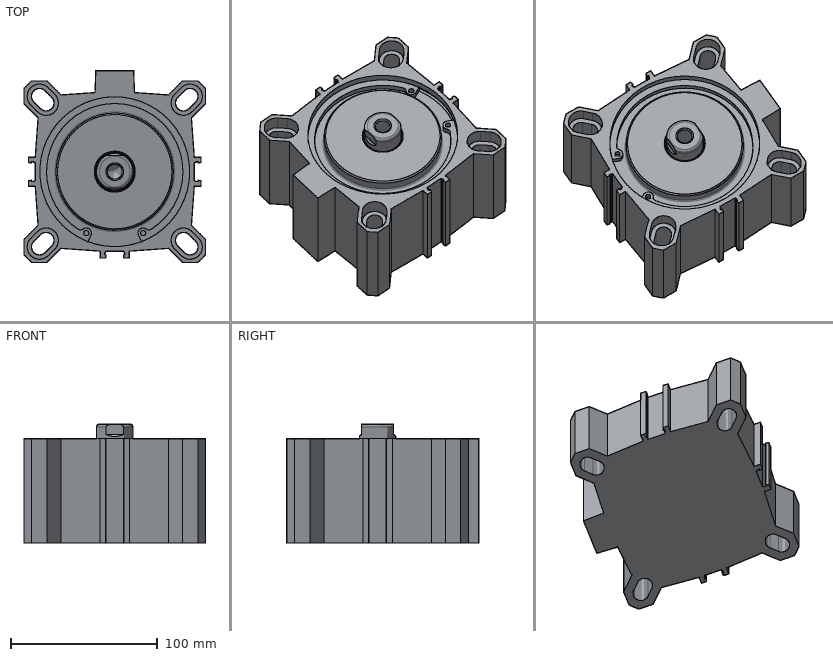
import cadquery as cq
import math

body_height = 71.2
total_height = 81.2

half_width = 62.0
ear_inner = 46.3
corner_diameter = 168.0
waist = 52.4
side_middle = 54.3
port_reach = 69.0
port_tip_half = 13.0
port_root_half = 13.6

rib_outer = 10.0
rib_inner = 6.2
rib_lip = 5.8
rib_reach = 59.0
notch_start = 55.4
notch_end = 56.8
notch_depth = 0.5

slot_centre = 49.1
slot_shift = 6.4
slot_diameter = 10.7
counterbore_diameter = 16.8
counterbore_depth = 11.0

seat_diameter = 102.2
chamber_diameter = 100.0
groove_diameter = 106.2
floor_thickness = 12.0
ring_thickness = 4.0
ring_recess = 5.2
ring_top = body_height - ring_recess
ring_bottom = ring_top - ring_thickness
ring_inner_diameter = 93.0
lug_radius = 3.5
lug_hole_diameter = 3.5
lug_x = 19.4
lug_y = -41.9
lug_fillet = 3.0
cap_flange_thickness = 20.0
cap_bottom = ring_bottom - cap_flange_thickness
boss_diameter = 80.0
boss_recess = 1.2
boss_top = body_height - boss_recess
boss_chamfer = 1.0
boss_fillet = 0.8
wiper_diameter = 25.6
wiper_depth = 2.5
wiper_ledge_diameter = 26.9
wiper_ledge_depth = 1.0
wiper_mouth_diameter = 28.0

rod_diameter = 25.0
rod_fillet = 2.0
flats_width = 22.0
flats_clearance = 3.0
flats_foot = body_height + flats_clearance
thread_diameter = 10.11
thread_mouth_diameter = 12.0
thread_depth = 24.0
drill_point_angle = 118.0


def cylinder(diameter, bottom, top):
    return cq.Workplane("XY").workplane(offset=bottom).circle(diameter / 2).extrude(top - bottom)


def cone(bottom_diameter, top_diameter, bottom, top):
    return cq.Workplane("XY").add(
        cq.Solid.makeCone(bottom_diameter / 2, top_diameter / 2, top - bottom, pnt=cq.Vector(0, 0, bottom))
    )


def housing_outline():
    """Four sides with ears at the corners; each side peaks at its ribbed middle."""
    ear_flank_end = waist - (half_width - ear_inner)
    side = [
        (side_middle, -rib_outer),
        (side_middle, rib_outer),
        (waist, ear_flank_end),
        (half_width, ear_inner),
        (half_width, half_width),
        (ear_inner, half_width),
        (ear_flank_end, waist),
    ]
    points = []
    for quarter in range(4):
        cos_q = round(math.cos(quarter * math.pi / 2))
        sin_q = round(math.sin(quarter * math.pi / 2))
        points += [(x * cos_q - y * sin_q, x * sin_q + y * cos_q) for x, y in side]
    return points


def rib_pair():
    """Two facing ribs on the +X side, each with a slanted lip and a small notch on its inner face."""
    profile = [
        (waist, rib_outer),
        (rib_reach, rib_outer),
        (rib_reach, rib_inner),
        (notch_end, rib_lip),
        (notch_end, rib_inner + notch_depth),
        (notch_start, rib_inner + notch_depth),
        (notch_start, rib_inner),
        (waist, rib_inner),
    ]
    rib = cq.Workplane("XY").polyline(profile).close().extrude(body_height)
    return rib.union(rib.mirror("XZ"))


def port_block():
    profile = [
        (-port_root_half, waist),
        (port_root_half, waist),
        (port_tip_half, port_reach),
        (-port_tip_half, port_reach),
    ]
    return cq.Workplane("XY").polyline(profile).close().extrude(body_height)


def corner_slot(diameter, bottom, corner):
    """Slot along the diagonal of the corner found at the given angle."""
    return (
        cq.Workplane("XY").workplane(offset=bottom)
        .center(slot_centre * math.sqrt(2), 0)
        .slot2D(slot_shift + diameter, diameter)
        .extrude(body_height - bottom)
        .rotate((0, 0, 0), (0, 0, 1), corner)
    )


def make_housing():
    body = cq.Workplane("XY").polyline(housing_outline()).close().extrude(body_height)
    body = body.intersect(cylinder(corner_diameter, 0, body_height))
    for side_angle in (0, 180, 270):
        body = body.union(rib_pair().rotate((0, 0, 0), (0, 0, 1), side_angle))
    body = body.union(port_block())
    for corner in (45, 135, 225, 315):
        body = body.cut(corner_slot(slot_diameter, 0, corner))
        body = body.cut(corner_slot(counterbore_diameter, body_height - counterbore_depth, corner))
    body = body.cut(cylinder(chamber_diameter, floor_thickness, body_height))
    body = body.cut(cylinder(seat_diameter, cap_bottom, body_height))
    return body.cut(cylinder(groove_diameter, ring_bottom, ring_top))


def make_cap():
    flange = cylinder(seat_diameter, cap_bottom, ring_bottom)
    boss = cylinder(boss_diameter, ring_bottom, boss_top).faces(">Z").chamfer(boss_chamfer)
    cap = flange.union(boss)
    root = cq.selectors.NearestToPointSelector((0, 0, ring_bottom))
    cap = cap.edges(cq.selectors.RadiusNthSelector(1)).edges(root).fillet(boss_fillet)
    mouth_depth = (wiper_mouth_diameter - wiper_ledge_diameter) / 2
    cap = cap.cut(cylinder(rod_diameter, cap_bottom, boss_top))
    cap = cap.cut(cylinder(wiper_diameter, boss_top - wiper_depth, boss_top))
    cap = cap.cut(cylinder(wiper_ledge_diameter, boss_top - wiper_ledge_depth, boss_top))
    return cap.cut(cone(wiper_ledge_diameter, wiper_mouth_diameter, boss_top - mouth_depth, boss_top))


def make_ring():
    """Internal circlip, open towards -Y, with a drilled lug at each end."""
    lug_distance = math.hypot(lug_x, lug_y)
    lug_angle = math.degrees(math.atan2(lug_y, lug_x))
    inner_radius = ring_inner_diameter / 2
    rim_reach = (inner_radius + groove_diameter / 2) / 2 - lug_distance

    half = cylinder(groove_diameter, ring_bottom, ring_top).cut(
        cylinder(ring_inner_diameter, ring_bottom, ring_top))
    plane = cq.Workplane("XY").workplane(offset=ring_bottom)
    half = half.intersect(plane.rect(groove_diameter, 2 * groove_diameter).extrude(ring_thickness)
                          .translate((groove_diameter / 2, 0, 0)))
    beyond_end = plane.rect(groove_diameter, groove_diameter).extrude(ring_thickness).translate(
        (groove_diameter / 2, -lug_radius - groove_diameter / 2, 0))
    lug = plane.center(lug_distance, 0).circle(lug_radius).extrude(ring_thickness)
    neck = plane.center(lug_distance + rim_reach / 2, -lug_radius / 2).rect(
        rim_reach, lug_radius).extrude(ring_thickness)
    hole = plane.center(lug_distance, 0).circle(lug_hole_diameter / 2).extrude(ring_thickness)
    lug, neck, hole, beyond_end = [
        shape.rotate((0, 0, 0), (0, 0, 1), lug_angle) for shape in (lug, neck, hole, beyond_end)]

    half = half.cut(beyond_end).union(lug).union(neck).clean()
    corner_angle = math.radians(lug_angle) + lug_radius / inner_radius
    inside_corner = (
        inner_radius * math.cos(corner_angle),
        inner_radius * math.sin(corner_angle),
        ring_bottom + ring_thickness / 2,
    )
    half = half.edges("|Z").edges(cq.selectors.NearestToPointSelector(inside_corner)).fillet(lug_fillet)
    half = half.cut(hole)
    return half.union(half.mirror("YZ"))


def flat_cut():
    """Cutter for the spanner flat facing +Y, with a 45 degree run-out at its foot."""
    flat = flats_width / 2
    radius = rod_diameter / 2
    profile = [
        (flat, total_height),
        (flat, flats_foot),
        (radius, flats_foot - (radius - flat)),
        (radius, total_height),
    ]
    return cq.Workplane("YZ").polyline(profile).close().extrude(rod_diameter / 2, both=True)


def threaded_hole():
    """Drilled hole with a conical point and a chamfered mouth."""
    hole_bottom = total_height - thread_depth
    point_height = thread_diameter / 2 / math.tan(math.radians(drill_point_angle / 2))
    mouth_depth = (thread_mouth_diameter - thread_diameter) / 2
    hole = cylinder(thread_diameter, hole_bottom, total_height)
    hole = hole.union(cone(0, thread_diameter, hole_bottom - point_height, hole_bottom))
    return hole.union(cone(thread_diameter, thread_mouth_diameter, total_height - mouth_depth, total_height))


def make_rod():
    rod = cylinder(rod_diameter, floor_thickness, total_height).faces(">Z").edges().fillet(rod_fillet)
    rod = rod.cut(flat_cut()).cut(flat_cut().mirror("XZ"))
    return rod.cut(threaded_hole())


housing = make_housing()
cap = make_cap()
ring = make_ring()
rod = make_rod()

result = cq.Compound.makeCompound([
    housing.solids().val(),
    cap.solids().val(),
    ring.solids().val(),
    rod.solids().val(),
])